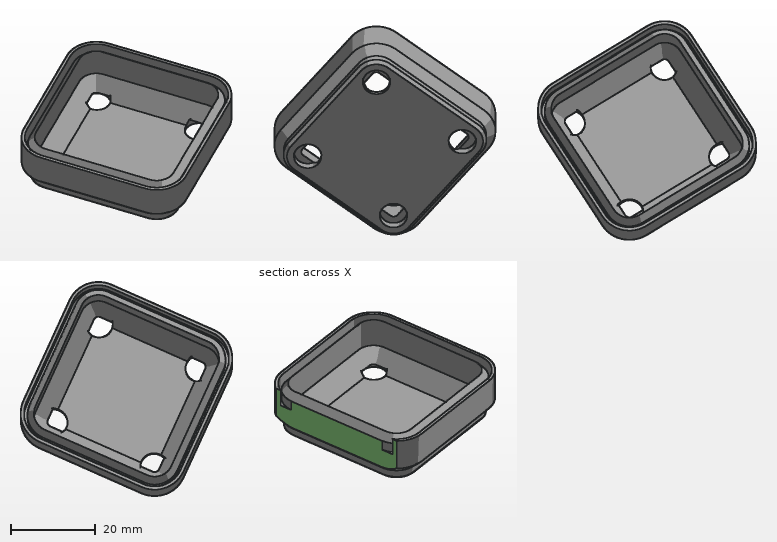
import cadquery as cq

side = 41.5
height = 12.75
corner_radius = 7.5

foot_chamfer = 0.8
foot_band_height = 1.8
foot_inset = 2.15
foot_band_top = foot_chamfer + foot_band_height
flare_top = foot_band_top + foot_inset

wall_thickness = 3.15
floor_thickness = 1.05
skirt_width = 4.25
skirt_top = floor_thickness + skirt_width
floor_inset = wall_thickness + skirt_width

lip_thickness = 0.8
groove_width = 0.8
groove_depth = 4.4
groove_slope_height = 1.85
groove_inner_inset = lip_thickness + groove_width
groove_floor = height - groove_depth
groove_slope_bottom = height - groove_slope_height

bore_diameter = 6.5
bore_depth = 2.1
bore_spacing = 26.0


def rounded_square(inset, z):
    """Body outline shrunk by inset, with its corner arcs kept concentric, at height z."""
    width = side - 2 * inset
    outline = cq.Sketch().rect(width, width).vertices().fillet(corner_radius - inset)
    return outline.moved(cq.Location(cq.Vector(0, 0, z)))


def layer(bottom_inset, bottom_z, top_inset, top_z):
    """Solid between two concentric outlines, with straight or sloping sides."""
    bottom = rounded_square(bottom_inset, bottom_z)
    top = rounded_square(top_inset, top_z)
    return cq.Workplane("XY").placeSketch(bottom, top).loft(ruled=True)


def outer_body():
    chamfer = layer(foot_inset + foot_chamfer, 0, foot_inset, foot_chamfer)
    band = layer(foot_inset, foot_chamfer, foot_inset, foot_band_top)
    flare = layer(foot_inset, foot_band_top, 0, flare_top)
    wall = layer(0, flare_top, 0, height)
    return chamfer.union(band).union(flare).union(wall)


def cavity():
    skirt = layer(floor_inset, floor_thickness, wall_thickness, skirt_top)
    well = layer(wall_thickness, skirt_top, wall_thickness, height)
    return skirt.union(well)


def rim_groove():
    pocket = layer(lip_thickness, groove_floor, lip_thickness, height)
    straight_core = layer(groove_inner_inset, groove_floor, groove_inner_inset, groove_slope_bottom)
    sloped_core = layer(groove_inner_inset, groove_slope_bottom, wall_thickness, height)
    return pocket.cut(straight_core).cut(sloped_core)


def corner_bores():
    return (
        cq.Workplane("XY")
        .rect(bore_spacing, bore_spacing, forConstruction=True)
        .vertices()
        .circle(bore_diameter / 2)
        .extrude(bore_depth)
    )


result = outer_body().cut(cavity()).cut(rim_groove()).cut(corner_bores())